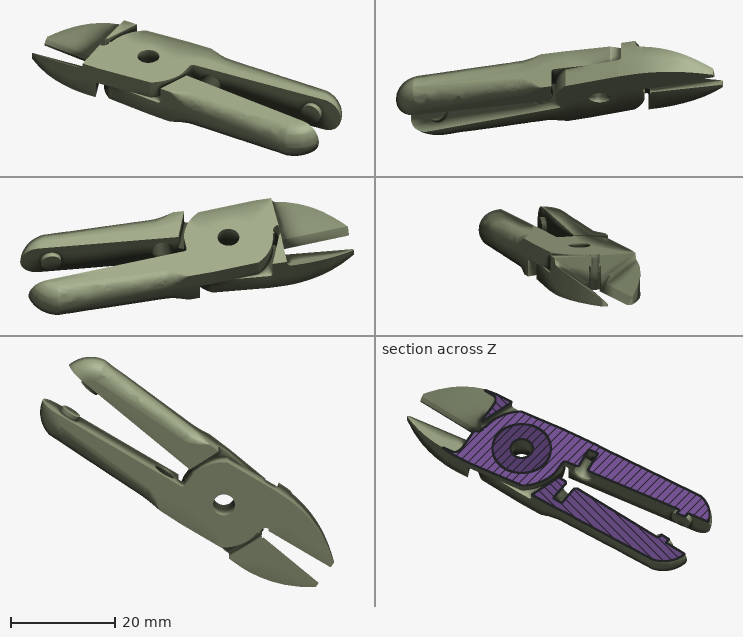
import cadquery as cq
import math


THICKNESS = 7.0
MID = THICKNESS / 2
OPEN_ANGLE = 4.6
TURN = math.radians(OPEN_ANGLE)
MARGIN = 3.2

HUB_RADIUS = 8.55
HUB_FLAT = 7.6
RIVET_RADIUS = 5.55
RIVET_BORE_RADIUS = 2.1
STEP_DISTANCE = 9.5
STEP_ANGLE = 20.7
STEP_FILLET = 0.45

TIP_X = -23.9
TIP_OUTER_Y = -3.0
TIP_DIRECTION = (4, -3)
JAW_BULGE = (-17.85, -6.5)
JAW_ROOT_X = -10.5
SHOULDER_ALONG = -7.1
WALL_X = -9.95
WALL_BOW = 0.16
WALL_FILLET = 1.0
JAW_SLOPE_ANGLE = 35
JAW_SLOPE = math.radians(JAW_SLOPE_ANGLE)
SLOPE_START_Z = 0.65
UPPER_BEVEL_WIDTH = 1.15
UPPER_LAND_HEIGHT = 0.0
LOWER_BEVEL_WIDTH = 0.65
LOWER_LAND_HEIGHT = 0.45
NOTCH_RADIUS = 1.2
ROOT_LIMIT_Y = 0.65

GRIP_START_ALONG = 5.0
GRIP_END = (34.8, 9.1)
RUNOUT_X = 9.3
FULL_ROUND_X = 14.15
ROUND_START = 2.4
RUNOUT_STEPS = 4
RUNOUT_MIN_RADIUS = 0.03
END_CENTER = (33.6, 2.85)
TAIL_SWEEP = 120
SLOT_X = 8.4
SLOT_HALF_WIDTH = 1.8
SLOT_FILLET = 0.6

SPRING_HOLE_X = 12.4
SPRING_HOLE_RADIUS = 2.0
SPRING_HOLE_DEPTH = 4.45
SPRING_HOLE_CHAMFER = 0.25
STOP_X = 33.95
STOP_RADIUS = 2.0
STOP_HEIGHT = 0.95


def turned(x, y):
    """Point of the closed position, turned to the open position."""
    return (
        x * math.cos(TURN) - y * math.sin(TURN),
        x * math.sin(TURN) + y * math.cos(TURN),
    )


SHOULDER = turned(SHOULDER_ALONG, -HUB_FLAT)
GRIP_START = turned(GRIP_START_ALONG, HUB_FLAT)
TAIL_RADIUS = math.dist(END_CENTER, GRIP_END)
GRIP_ANGLE = math.atan2(GRIP_END[1] - GRIP_START[1], GRIP_END[0] - GRIP_START[0])


def slot_y(x):
    """Y of the inner handle face."""
    return SLOT_HALF_WIDTH + (x - SLOT_X) * math.tan(TURN)


def jaw_blank():
    """Full-thickness jaw, from the tip to the hub flat."""
    edge_tip = (TIP_X, TIP_X * math.tan(TURN))
    edge_root = (WALL_X, WALL_X * math.tan(TURN))
    return (
        cq.Workplane("XY")
        .moveTo(*edge_tip)
        .lineTo(TIP_X, TIP_OUTER_Y)
        .spline(
            [JAW_BULGE, (JAW_ROOT_X, SHOULDER[1]), SHOULDER],
            tangents=[TIP_DIRECTION, (1, 0)],
            includeCurrent=True,
        )
        .lineTo(*turned(0, -HUB_FLAT))
        .lineTo(0, ROOT_LIMIT_Y)
        .lineTo(WALL_X, ROOT_LIMIT_Y)
        .lineTo(*edge_root)
        .close()
        .extrude(THICKNESS)
    )


def handle_blank():
    """Full-thickness handle with its rounded tail, still without the slot."""
    tail_tip = (END_CENTER[0] + TAIL_RADIUS, END_CENTER[1])
    middle = math.atan2(GRIP_END[1] - END_CENTER[1], GRIP_END[0] - END_CENTER[0]) / 2
    tail_middle = (
        END_CENTER[0] + TAIL_RADIUS * math.cos(middle),
        END_CENTER[1] + TAIL_RADIUS * math.sin(middle),
    )
    return (
        cq.Workplane("XY")
        .lineTo(*turned(0, HUB_FLAT))
        .lineTo(*GRIP_START)
        .lineTo(*GRIP_END)
        .threePointArc(tail_middle, tail_tip)
        .lineTo(SLOT_X, 0)
        .close()
        .extrude(THICKNESS)
    )


def hub():
    """Half-thickness disc with two flats, lying on Z = 0."""
    flats = cq.Workplane("XY").rect(4 * HUB_RADIUS, 2 * HUB_FLAT).extrude(MID)
    disc = cq.Workplane("XY").circle(HUB_RADIUS).extrude(MID)
    return disc.intersect(flats).rotate((0, 0, 0), (0, 0, 1), OPEN_ANGLE)


def step_cutter():
    """Band above mid-thickness that makes room for the hub of the other half."""
    return (
        cq.Workplane("XY", origin=(0, 0, MID))
        .rect(2 * STEP_DISTANCE, 4 * HUB_RADIUS)
        .extrude(THICKNESS)
        .edges("<Z and |Y")
        .fillet(STEP_FILLET)
        .rotate((0, 0, 0), (0, 0, 1), STEP_ANGLE)
    )


def slot_cutter():
    """Tapered slot between the two inner handle faces."""
    far_x = GRIP_END[0] + 4 * MARGIN
    return (
        cq.Workplane("XY")
        .polyline([
            (SLOT_X, SLOT_HALF_WIDTH),
            (SLOT_X, -SLOT_HALF_WIDTH),
            (far_x, -slot_y(far_x)),
            (far_x, slot_y(far_x)),
        ])
        .close()
        .extrude(THICKNESS)
        .edges("<X and |Z")
        .fillet(SLOT_FILLET)
    )


def notch_cutter():
    """Half-round relief at the root of the cutting edges."""
    return (
        cq.Workplane("XY")
        .moveTo(WALL_X, NOTCH_RADIUS)
        .threePointArc((WALL_X + NOTCH_RADIUS, 0), (WALL_X, -NOTCH_RADIUS))
        .close()
        .extrude(THICKNESS)
    )


def jaw_face_cutter():
    """Block above the sloped jaw face, ending at the bowed wall with a fillet."""
    slope_plane = cq.Plane(
        origin=(0, 0, SLOPE_START_Z),
        xDir=(math.cos(TURN), math.sin(TURN), 0),
        normal=(
            -math.sin(JAW_SLOPE) * math.sin(TURN),
            math.sin(JAW_SLOPE) * math.cos(TURN),
            math.cos(JAW_SLOPE),
        ),
    )

    def on_slope(x, y):
        along = x * math.cos(TURN) + y * math.sin(TURN)
        across = y * math.cos(TURN) - x * math.sin(TURN)
        return (along, across / math.cos(JAW_SLOPE))

    outer_y = SHOULDER[1] - MARGIN
    far_x = TIP_X - MARGIN
    return (
        cq.Workplane(slope_plane)
        .moveTo(*on_slope(WALL_X, MARGIN))
        .threePointArc(
            on_slope(WALL_X + WALL_BOW, (MARGIN + outer_y) / 2),
            on_slope(WALL_X, outer_y),
        )
        .lineTo(*on_slope(far_x, outer_y))
        .lineTo(*on_slope(far_x, MARGIN))
        .close()
        .extrude(2 * THICKNESS)
        .edges("%CIRCLE")
        .fillet(WALL_FILLET)
    )


def edge_bevel_cutter(bevel_width, land_height):
    """Prism along the cutting edge that leaves a steeper bevel above an upright land."""
    bevel_top = SLOPE_START_Z + bevel_width * math.tan(JAW_SLOPE)
    rise = bevel_top - land_height
    section_plane = cq.Plane(
        origin=(WALL_X, WALL_X * math.tan(TURN), land_height),
        xDir=(math.sin(TURN), -math.cos(TURN), 0),
        normal=(-math.cos(TURN), -math.sin(TURN), 0),
    )
    return (
        cq.Workplane(section_plane)
        .polyline([
            (-bevel_width, -rise),
            (2 * bevel_width, 2 * rise),
            (-bevel_width, 2 * rise),
        ])
        .close()
        .extrude(WALL_X - TIP_X + MARGIN)
    )


def rounding_section(plane, radius, outer_side):
    """Outline of the corner left outside a rounding; outer_side is the handle side along local X."""
    bend = radius * (1 - math.sqrt(0.5))
    return (
        cq.Workplane(plane)
        .moveTo(outer_side, THICKNESS - radius)
        .threePointArc(
            (outer_side - bend, THICKNESS - bend),
            (outer_side - radius, THICKNESS),
        )
        .lineTo(outer_side - radius, THICKNESS + MARGIN)
        .lineTo(outer_side + MARGIN, THICKNESS + MARGIN)
        .lineTo(outer_side + MARGIN, THICKNESS - radius)
        .close()
    )


def grip_plane(x, y):
    """Plane square to the outer side of the handle, local X outward and local Y up."""
    return cq.Plane(
        origin=(x, y, 0),
        xDir=(-math.sin(GRIP_ANGLE), math.cos(GRIP_ANGLE), 0),
        normal=(math.cos(GRIP_ANGLE), math.sin(GRIP_ANGLE), 0),
    )


def grip_section(x, radius):
    """Rounding section on the straight part of the handle."""
    y = GRIP_START[1] + (x - GRIP_START[0]) * math.tan(GRIP_ANGLE)
    return rounding_section(grip_plane(x, y), radius, 0).wire().val()


def runout_cutter():
    """Rounding that grows from nothing along a quarter sine wave."""
    wires = []
    for step in range(RUNOUT_STEPS + 1):
        share = step / RUNOUT_STEPS
        x = RUNOUT_X + share * (FULL_ROUND_X - RUNOUT_X)
        radius = max(RUNOUT_MIN_RADIUS, ROUND_START * math.sin(share * math.pi / 2))
        wires.append(grip_section(x, radius))
    return cq.Workplane(cq.Solid.makeLoft(wires))


def grip_cutter():
    """Rounding that grows evenly to half the thickness."""
    wires = [grip_section(FULL_ROUND_X, ROUND_START), grip_section(GRIP_END[0], MID)]
    return cq.Workplane(cq.Solid.makeLoft(wires, True))


def tail_cutter():
    """Full rounding swept around the tail."""
    section = rounding_section(grip_plane(*END_CENTER), MID, TAIL_RADIUS)
    return section.revolve(TAIL_SWEEP, (0, 0, 0), (0, -1, 0))


def inner_face(x):
    """Workplane on the inner handle face, looking into the handle."""
    return cq.Workplane(cq.Plane(
        origin=(x, slot_y(x), MID),
        xDir=(math.cos(TURN), math.sin(TURN), 0),
        normal=(-math.sin(TURN), math.cos(TURN), 0),
    ))


def spring_hole_cutter():
    rim = SPRING_HOLE_RADIUS + SPRING_HOLE_CHAMFER
    hole = inner_face(SPRING_HOLE_X).circle(SPRING_HOLE_RADIUS).extrude(SPRING_HOLE_DEPTH)
    countersink = (
        inner_face(SPRING_HOLE_X).circle(rim).extrude(SPRING_HOLE_CHAMFER, taper=45)
    )
    return hole.union(countersink)


def stop():
    """Round stop that stands on the inner handle face."""
    return inner_face(STOP_X).circle(STOP_RADIUS).extrude(-STOP_HEIGHT)


def flipped(shape):
    """The shape turned upside down about mid-thickness."""
    return shape.mirror("XY", (0, 0, MID))


def rivet_hole_cutter():
    return cq.Workplane("XY").circle(RIVET_RADIUS).extrude(THICKNESS)


def plier_half(hub_on_top, bevel_width, land_height):
    """Jaw, half-thickness hub and handle of one half, jaw at -Y."""
    step = step_cutter()
    own_hub = hub()
    if hub_on_top:
        step = flipped(step)
        own_hub = flipped(own_hub)
    jaw = jaw_blank().cut(jaw_face_cutter()).cut(edge_bevel_cutter(bevel_width, land_height))
    handle = handle_blank()
    for rounding in (runout_cutter(), grip_cutter(), tail_cutter()):
        handle = handle.cut(rounding).cut(flipped(rounding))
    body = jaw.union(handle).cut(step).union(own_hub)
    for cutter in (slot_cutter(), notch_cutter(), rivet_hole_cutter(), spring_hole_cutter()):
        body = body.cut(cutter)
    return body.union(stop())


def rivet():
    """Hollow rivet that joins the halves."""
    return cq.Workplane("XY").circle(RIVET_RADIUS).circle(RIVET_BORE_RADIUS).extrude(THICKNESS)


upper_half = plier_half(True, UPPER_BEVEL_WIDTH, UPPER_LAND_HEIGHT)
lower_half = plier_half(False, LOWER_BEVEL_WIDTH, LOWER_LAND_HEIGHT).mirror("XZ")
pivot_rivet = rivet()

result = cq.Compound.makeCompound([
    *upper_half.solids().vals(),
    *lower_half.solids().vals(),
    pivot_rivet.val(),
])